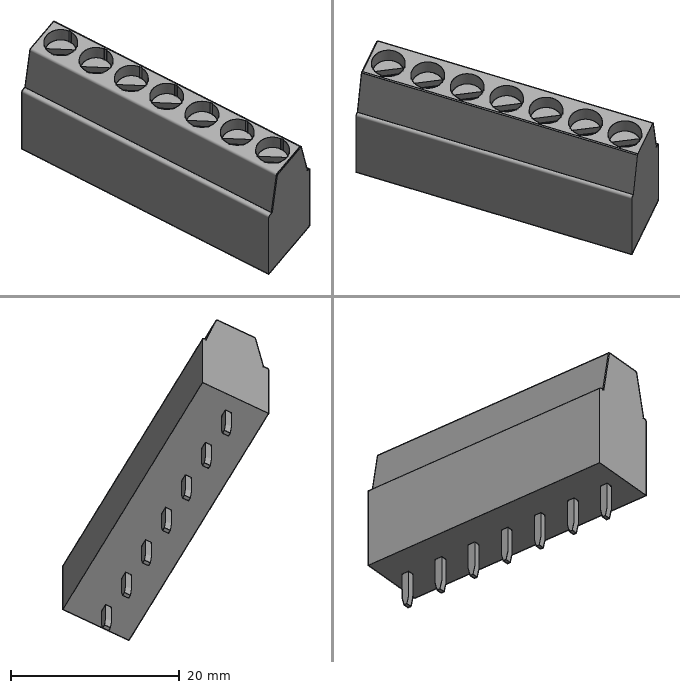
import cadquery as cq

POLES = 7
PITCH = 5.0
LENGTH = POLES * PITCH

FRONT_Y = -4.35
DEPTH = 8.9
BACK_Y = FRONT_Y + DEPTH
HEIGHT = 16.8
SHOULDER_Z = 10.8
FRONT_LEDGE = 0.7
BACK_LEDGE = 0.5
FRONT_TOP_INSET = 1.8
BACK_TOP_INSET = 1.88
EDGE_RADIUS = 0.3
BACK_TOP_CHAMFER = 0.12
END_CHAMFER = 0.1

SCREW_Y = 0.3
WELL_DIAMETER = 4.0
WELL_DEPTH = 2.8
HEAD_DIAMETER = 3.8
HEAD_RECESS = 1.8
WELL_FLOOR_Z = HEIGHT - WELL_DEPTH
HEAD_TOP_Z = HEIGHT - HEAD_RECESS
SLOT_WIDTH = 0.9
SLOT_DEPTH = WELL_DEPTH - HEAD_RECESS
SLOT_ANGLE = 30.0

GROOVE_WIDTH = 0.35
GROOVE_DEPTH = 0.05

PIN_LENGTH = 4.5
PIN_WIDTH = 1.0
PIN_THICKNESS = 0.8
PIN_TIP_WIDTH = 0.45
PIN_TIP_LENGTH = 1.1

pole_positions = [(i - (POLES - 1) / 2) * PITCH for i in range(POLES)]


def housing():
    """Stepped, tapered profile extruded along the row, with its long upper edges eased."""
    profile = [
        (FRONT_Y, 0),
        (BACK_Y, 0),
        (BACK_Y, SHOULDER_Z),
        (BACK_Y - BACK_LEDGE, SHOULDER_Z),
        (BACK_Y - BACK_TOP_INSET, HEIGHT),
        (FRONT_Y + FRONT_TOP_INSET, HEIGHT),
        (FRONT_Y + FRONT_LEDGE, SHOULDER_Z),
        (FRONT_Y, SHOULDER_Z),
    ]
    block = cq.Workplane("YZ").polyline(profile).close().extrude(LENGTH / 2, both=True)
    block = block.faces("<Y or >Y").edges(">Z").fillet(EDGE_RADIUS)
    block = block.faces(">Z").edges("<Y").fillet(EDGE_RADIUS)
    block = block.faces(">Z").edges(">Y").chamfer(BACK_TOP_CHAMFER)
    return block.faces(">Z").edges(">X").chamfer(END_CHAMFER)


def screw_well():
    """Cutter for one well, centred on the screw axis."""
    well = cq.Workplane("XY", origin=(0, 0, WELL_FLOOR_Z)).circle(WELL_DIAMETER / 2).extrude(WELL_DEPTH)
    groove_reach = WELL_DIAMETER / 2 + GROOVE_DEPTH
    groove = (
        cq.Workplane("XY", origin=(0, groove_reach / 2, WELL_FLOOR_Z))
        .rect(GROOVE_WIDTH, groove_reach)
        .extrude(WELL_DEPTH)
    )
    return well.union(groove)


def screw_head():
    """Slotted head standing on the well floor."""
    head = cq.Workplane("XY", origin=(0, 0, WELL_FLOOR_Z)).circle(HEAD_DIAMETER / 2)
    head = head.extrude(HEAD_TOP_Z - WELL_FLOOR_Z)
    slot = (
        cq.Workplane("XY", origin=(0, 0, HEAD_TOP_Z - SLOT_DEPTH))
        .transformed(rotate=(0, 0, SLOT_ANGLE))
        .rect(WELL_DIAMETER, SLOT_WIDTH)
        .extrude(SLOT_DEPTH)
    )
    return head.cut(slot)


def solder_pin():
    """Flat pin with its tip tapered in width, hanging from the seating plane."""
    half = PIN_WIDTH / 2
    half_tip = PIN_TIP_WIDTH / 2
    taper_z = PIN_TIP_LENGTH - PIN_LENGTH
    outline = [
        (-half, 0),
        (-half, taper_z),
        (-half_tip, -PIN_LENGTH),
        (half_tip, -PIN_LENGTH),
        (half, taper_z),
        (half, 0),
    ]
    return cq.Workplane("XZ").polyline(outline).close().extrude(PIN_THICKNESS / 2, both=True)


result = housing()
for x in pole_positions:
    result = result.cut(screw_well().translate((x, SCREW_Y, 0)))
    result = result.union(screw_head().translate((x, SCREW_Y, 0)))
    result = result.union(solder_pin().translate((x, 0, 0)))